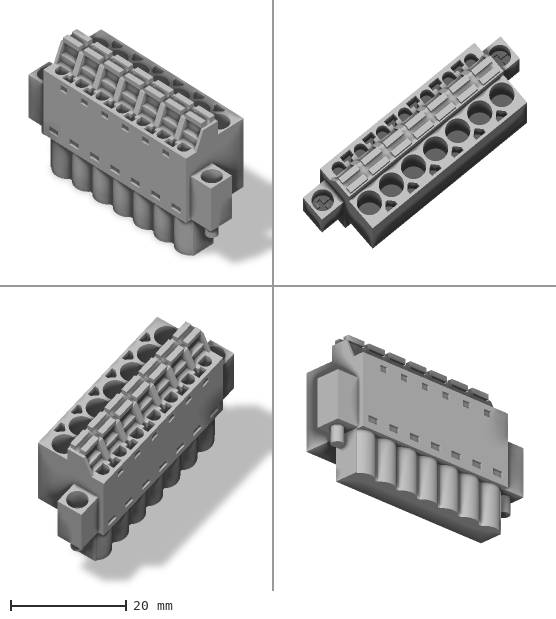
import cadquery as cq


poles = 7
total_width = 44.8
body_width = 35.0
pitch = body_width / poles
pole_xs = [(i - (poles - 1) / 2) * pitch for i in range(poles)]
border_xs = [x + pitch / 2 for x in pole_xs[:-1]]

depth = 14.2
body_bottom = 8.4
front_top = 22.65
back_top = 23.6
ridge_top = 26.6
ridge_foot_y = 2.6
ridge_front_y = 4.3
ridge_back_y = 7.85

skirt_back_y = 6.8
skirt_flat_y = 1.8
skirt_crest_y = 0.7
scallop_width = 4.45

latch_width = 3.85
latch_root_back = (10.35, body_bottom)
latch_shoulder = (10.05, 7.9)
latch_bend_back = (9.5, 5.5)
latch_heel = (9.15, 4.75)
latch_tip_back = (8.6, 4.1)
latch_tip = (8.1, 4.1)
latch_tip_front = (7.97, 4.55)
latch_barb_front = (7.97, 5.0)
latch_barb_top = (8.2, 5.05)
latch_neck_bottom = (8.55, 5.6)
latch_neck_top = (8.55, 7.15)
latch_root_front = (8.1, body_bottom)

ear_width = (total_width - body_width) / 2
ear_front_y = 1.2
ear_depth = 5.15
ear_bottom = 8.55
ear_top = 18.1
screw_spacing = 40.15
screw_y = ear_front_y + ear_depth / 2

head_diameter = 3.9
head_height = 1.8
head_recess = 4.5
head_top = ear_top - head_recess
head_bottom = head_top - head_height
shaft_diameter = 2.35
shaft_bottom = 5.3
slot_width = 0.55
cross_width = 0.85
cross_length = 2.7
drive_depth = 0.9

lever_width = 3.85
lever_top = 27.75
lever_back_y = 7.6
head_front_y = ridge_front_y
head_underside = 26.7
stem_front_y = 4.95
ledge_front_y = 3.75
ledge_top = 24.2
groove_width = 1.05
groove_depth = 1.08
groove_y = (head_front_y + lever_back_y) / 2

opening_depth = 4.5
wire_hole_diameter = 4.4
wire_hole_y = 10.35
wire_hole_depth = 8.95
wedge_width = 2.2
wedge_back_y = 13.65
wedge_shoulder_y = 13.0
wedge_tip_y = 12.0
wedge_tip_width = 0.4
probe_width = 2.35
probe_back_y = 2.85
probe_front_y = 0.8
tee_width = 2.2
tee_front_y = 0.65
tee_shoulder_y = 1.93
tee_stem_width = 0.8

window_depth = 0.45
window_height = 1.25
upper_window_width = 1.7
upper_window_z = 20.4
lower_window_width = 2.3
lower_window_z = 9.68


def box(width, x, y_front, y_back, z_bottom, z_top):
    """Block centred on x, spanning the given Y and Z ranges."""
    return (
        cq.Workplane("XY", origin=(x, 0, z_bottom))
        .center(0, (y_front + y_back) / 2)
        .rect(width, y_back - y_front)
        .extrude(z_top - z_bottom)
    )


def cylinder(diameter, x, y, z_bottom, z_top):
    """Upright cylinder."""
    return cq.Workplane("XY", origin=(x, y, z_bottom)).circle(diameter / 2).extrude(z_top - z_bottom)


def housing_block():
    """Stepped block with a sloped ridge, extruded along the row."""
    return (
        cq.Workplane("YZ", origin=(-body_width / 2, 0, 0))
        .moveTo(0, body_bottom)
        .lineTo(depth, body_bottom)
        .lineTo(depth, back_top)
        .lineTo(ridge_back_y, back_top)
        .lineTo(ridge_back_y, ridge_top)
        .lineTo(ridge_front_y, ridge_top)
        .lineTo(ridge_foot_y, front_top)
        .lineTo(0, front_top)
        .close()
        .extrude(body_width)
    )


def plug_skirt():
    """Skirt with one bulging front scallop per pole."""
    outline = cq.Workplane("XY").moveTo(-body_width / 2, skirt_back_y).lineTo(-body_width / 2, skirt_flat_y)
    for x in pole_xs:
        outline = (
            outline.lineTo(x - scallop_width / 2, skirt_flat_y)
            .threePointArc((x, skirt_crest_y), (x + scallop_width / 2, skirt_flat_y))
        )
    outline = outline.lineTo(body_width / 2, skirt_flat_y).lineTo(body_width / 2, skirt_back_y).close()
    return outline.extrude(body_bottom)


def latch():
    """Hooked snap arm hanging from the middle of the housing."""
    return (
        cq.Workplane("YZ", origin=(-latch_width / 2, 0, 0))
        .moveTo(*latch_root_back)
        .lineTo(*latch_shoulder)
        .lineTo(*latch_bend_back)
        .threePointArc(latch_heel, latch_tip_back)
        .threePointArc(latch_tip, latch_tip_front)
        .lineTo(*latch_barb_front)
        .lineTo(*latch_barb_top)
        .lineTo(*latch_neck_bottom)
        .lineTo(*latch_neck_top)
        .lineTo(*latch_root_front)
        .close()
        .extrude(latch_width)
    )


def screw_ear(side):
    """Block beside the housing; side is -1 for left and 1 for right."""
    x = side * (body_width + ear_width) / 2
    return box(ear_width, x, ear_front_y, ear_front_y + ear_depth, ear_bottom, ear_top)


def screw_hole(x):
    """Stepped hole that holds a screw."""
    head_hole = cylinder(head_diameter, x, screw_y, head_bottom, ear_top)
    return head_hole.union(cylinder(shaft_diameter, x, screw_y, ear_bottom, head_bottom))


def lever_bay(x):
    """Bay in the ridge, open to the front and top, leaving a thin back wall."""
    return box(lever_width, x, ridge_foot_y, lever_back_y, front_top, ridge_top)


def wire_hole(x):
    """Round wire entry behind the ridge."""
    return cylinder(wire_hole_diameter, x, wire_hole_y, back_top - wire_hole_depth, back_top)


def wedge_pocket(x):
    """Pocket with a blunt point, between two wire entries."""
    return (
        cq.Workplane("XY", origin=(x, 0, back_top))
        .moveTo(-wedge_width / 2, wedge_back_y)
        .lineTo(wedge_width / 2, wedge_back_y)
        .lineTo(wedge_width / 2, wedge_shoulder_y)
        .lineTo(wedge_tip_width / 2, wedge_tip_y)
        .lineTo(-wedge_tip_width / 2, wedge_tip_y)
        .lineTo(-wedge_width / 2, wedge_shoulder_y)
        .close()
        .extrude(-opening_depth)
    )


def probe_hole(x):
    """D-shaped test opening in front of a lever, rounded toward the front."""
    arc_start_y = probe_front_y + probe_width / 2
    return (
        cq.Workplane("XY", origin=(x, 0, front_top))
        .moveTo(-probe_width / 2, probe_back_y)
        .lineTo(-probe_width / 2, arc_start_y)
        .threePointArc((0, probe_front_y), (probe_width / 2, arc_start_y))
        .lineTo(probe_width / 2, probe_back_y)
        .close()
        .extrude(-opening_depth)
    )


def tee_slot(x):
    """T-shaped slot at the foot of a ridge partition."""
    bottom = front_top - opening_depth
    bar = box(tee_width, x, tee_front_y, tee_shoulder_y, bottom, front_top)
    stem = box(tee_stem_width, x, tee_shoulder_y, ridge_foot_y, bottom, front_top)
    return bar.union(stem)


def window(x, width, z_bottom):
    """Shallow rectangular recess in the front wall."""
    return box(width, x, 0, window_depth, z_bottom, z_bottom + window_height)


def make_housing():
    housing = housing_block().union(plug_skirt()).union(latch())
    for side in (-1, 1):
        housing = housing.union(screw_ear(side)).cut(screw_hole(side * screw_spacing / 2))
    for x in pole_xs:
        housing = housing.cut(lever_bay(x))
        housing = housing.cut(wire_hole(x))
        housing = housing.cut(probe_hole(x))
        housing = housing.cut(window(x, lower_window_width, lower_window_z))
    for x in border_xs:
        housing = housing.cut(wedge_pocket(x))
        housing = housing.cut(tee_slot(x))
        housing = housing.cut(window(x, upper_window_width, upper_window_z))
    return housing


def make_lever(x):
    """Stepped release lever with an overhanging head and a round-bottomed groove."""
    groove_radius = groove_width / 2
    arc_z = lever_top - groove_depth + groove_radius
    return (
        cq.Workplane("YZ", origin=(x - lever_width / 2, 0, 0))
        .moveTo(ledge_front_y, front_top)
        .lineTo(lever_back_y, front_top)
        .lineTo(lever_back_y, lever_top)
        .lineTo(groove_y + groove_radius, lever_top)
        .lineTo(groove_y + groove_radius, arc_z)
        .threePointArc((groove_y, lever_top - groove_depth), (groove_y - groove_radius, arc_z))
        .lineTo(groove_y - groove_radius, lever_top)
        .lineTo(head_front_y, lever_top)
        .lineTo(head_front_y, head_underside)
        .lineTo(stem_front_y, head_underside)
        .lineTo(stem_front_y, ledge_top)
        .lineTo(ledge_front_y, ledge_top)
        .close()
        .extrude(lever_width)
    )


def make_screw(x):
    """Flange screw whose head has a full-width slot crossed by a shorter, wider one."""
    screw = cylinder(head_diameter, x, screw_y, head_bottom, head_top)
    screw = screw.union(cylinder(shaft_diameter, x, screw_y, shaft_bottom, head_bottom))
    drive_bottom = head_top - drive_depth
    slot = box(head_diameter, x, screw_y - slot_width / 2, screw_y + slot_width / 2, drive_bottom, head_top)
    cross = box(cross_width, x, screw_y - cross_length / 2, screw_y + cross_length / 2, drive_bottom, head_top)
    return screw.cut(slot).cut(cross)


housing = make_housing()
levers = [make_lever(x) for x in pole_xs]
screws = [make_screw(side * screw_spacing / 2) for side in (-1, 1)]

result = cq.Compound.makeCompound(
    [
        housing.val(),
        *[lever.val() for lever in levers],
        *[screw.val() for screw in screws],
    ]
)